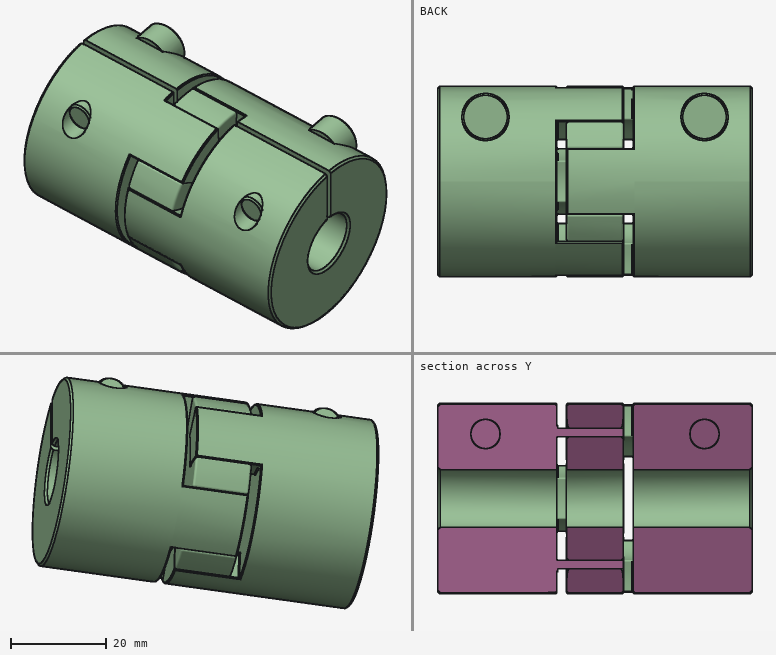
import cadquery as cq
import math

coupling_length = 66.0
outer_radius = 20.0
bore_radius = 6.65
hub_body_length = 25.0
spider_length = 12.0
overlap = 0.65
tolerance = 0.0005

jaws_per_hub = 3
jaw_pitch = 360.0 / jaws_per_hub
jaw_inner_radius = 13.2
jaw_outer_half_angle = 20.6
jaw_inner_half_angle = 19.1
jaw_flank_hollow = 0.25
jaw_corner_radius = 0.3
left_jaw_start = 0.0
right_jaw_start = jaw_pitch / 2

end_chamfer = 0.45
bore_chamfer = 0.5
jaw_chamfer = 0.25
jaw_root_fillet = 0.25
spider_fillet = 0.5

slit_width = 1.2
screw_height = 13.5
screw_from_end = 10.0
screw_diameter = 6.0
screw_tip_y = -13.5
screw_tip_chamfer = 0.4
head_radius = 4.95
head_length = screw_diameter
head_seat_y = 10.15
head_chamfer = 0.4

hub_end_x = -coupling_length / 2
hub_face_x = hub_end_x + hub_body_length
spider_half = spider_length / 2
screw_radius = screw_diameter / 2
screw_x = hub_end_x + screw_from_end


def polar(radius, angle):
    """Point in the YZ plane at an angle in degrees from +Y towards +Z."""
    return (radius * math.cos(math.radians(angle)), radius * math.sin(math.radians(angle)))


def jaw_profile(start_x):
    """Outline of one jaw centred on +Y, with concave flanks, in the plane x = start_x."""
    outer_top = polar(outer_radius, jaw_outer_half_angle)
    inner_top = polar(jaw_inner_radius, jaw_inner_half_angle)
    flank_y = outer_top[0] - inner_top[0]
    flank_z = outer_top[1] - inner_top[1]
    flank_length = math.hypot(flank_y, flank_z)
    hollow_top = (
        (outer_top[0] + inner_top[0]) / 2 + jaw_flank_hollow * flank_z / flank_length,
        (outer_top[1] + inner_top[1]) / 2 - jaw_flank_hollow * flank_y / flank_length,
    )
    outer_bottom, inner_bottom, hollow_bottom = (
        (y, -z) for y, z in (outer_top, inner_top, hollow_top)
    )
    return (
        cq.Workplane("YZ", origin=(start_x, 0, 0))
        .moveTo(*outer_bottom)
        .threePointArc((outer_radius, 0), outer_top)
        .threePointArc(hollow_top, inner_top)
        .threePointArc((jaw_inner_radius, 0), inner_bottom)
        .threePointArc(hollow_bottom, outer_bottom)
        .close()
    )


def make_jaw(start_x, end_x):
    """Jaw centred on +Y, with its two inner corners rounded along its length."""
    inner_edges = cq.selectors.BoxSelector(
        (start_x - overlap, -outer_radius, -outer_radius),
        (end_x + overlap, jaw_inner_radius, outer_radius),
    )
    jaw = jaw_profile(start_x).extrude(end_x - start_x)
    return jaw.edges("|X").edges(inner_edges).fillet(jaw_corner_radius)


def turned_copies(jaw, start_angle):
    """The jaw repeated around the X axis, one copy per jaw of a hub."""
    return [
        jaw.rotate((0, 0, 0), (1, 0, 0), start_angle + index * jaw_pitch)
        for index in range(jaws_per_hub)
    ]


def radius_at_middle(edge):
    """Distance of the middle of an edge from the coupling axis."""
    middle = edge.positionAt(0.5)
    return math.hypot(middle.y, middle.z)


def rim_edges(body, from_x):
    """Edges on the outer cylinder whose middle lies beyond from_x."""
    edges = []
    for edge in body.edges().vals():
        on_cylinder = abs(radius_at_middle(edge) - outer_radius) < tolerance
        if on_cylinder and edge.positionAt(0.5).x > from_x:
            edges.append(edge)
    return edges


def cylinder_y(radius, y_from, y_to):
    """Cylinder along Y on the left screw axis."""
    return (
        cq.Workplane("XZ", origin=(screw_x, y_from, screw_height))
        .circle(radius)
        .extrude(y_from - y_to)
    )


def make_left_hub(jaw_start):
    """Hub at the -X end with its jaws at the given start angle."""
    hub = (
        cq.Workplane("YZ", origin=(hub_end_x, 0, 0))
        .circle(outer_radius)
        .extrude(hub_body_length)
        .faces("<X").chamfer(end_chamfer)
        .faces(">X").chamfer(jaw_chamfer)
    )

    jaw_root_x = hub_face_x - jaw_chamfer
    jaw = make_jaw(jaw_root_x, spider_half)
    jaw = jaw.newObject(rim_edges(jaw, jaw_root_x + tolerance)).chamfer(jaw_chamfer)
    for turned_jaw in turned_copies(jaw, jaw_start):
        hub = hub.union(turned_jaw)
    jaw_root_edges = [
        edge for edge in hub.edges().vals()
        if abs(edge.positionAt(0.5).x - hub_face_x) < tolerance
        and radius_at_middle(edge) < outer_radius - jaw_chamfer - tolerance
    ]
    hub = hub.newObject(jaw_root_edges).fillet(jaw_root_fillet)

    hub = hub.faces("<X").workplane(origin=(0, 0, 0)).hole(2 * bore_radius)
    hub = hub.faces("<X").edges(cq.selectors.RadiusNthSelector(0)).chamfer(bore_chamfer)

    slit = cq.Workplane("XY", origin=(hub_end_x, 0, 0)).box(
        hub_body_length, slit_width, outer_radius + overlap, centered=(False, True, False)
    )
    hub = hub.cut(slit)

    hub = hub.cut(cylinder_y(screw_radius, -outer_radius, outer_radius))
    return hub.cut(cylinder_y(head_radius, head_seat_y, outer_radius))


def make_left_screw():
    """Cap screw of the left hub, head towards +Y."""
    shank = cylinder_y(screw_radius, screw_tip_y, head_seat_y)
    shank = shank.faces("<Y").chamfer(screw_tip_chamfer)
    head = cylinder_y(head_radius, head_seat_y, head_seat_y + head_length)
    head = head.faces(">Y").chamfer(head_chamfer)
    return shank.union(head)


def make_spider():
    """Ring whose six legs fill the spaces between the jaws of both hubs."""
    spider = (
        cq.Workplane("YZ", origin=(-spider_half, 0, 0))
        .circle(outer_radius)
        .circle(bore_radius)
        .extrude(spider_length)
    )
    jaw = make_jaw(-spider_half, spider_half)
    for jaw_start in (left_jaw_start, right_jaw_start):
        for turned_jaw in turned_copies(jaw, jaw_start):
            spider = spider.cut(turned_jaw)
    end_edges = [
        edge for edge in spider.faces("<X or >X").edges().vals()
        if bore_radius + tolerance < radius_at_middle(edge) < outer_radius - tolerance
    ]
    return spider.newObject(end_edges + rim_edges(spider, -coupling_length)).fillet(spider_fillet)


hubs = []
screws = []
for jaw_start, on_right in ((left_jaw_start, False), (right_jaw_start, True)):
    hub = make_left_hub(jaw_start)
    screw = make_left_screw()
    if on_right:
        hub = hub.mirror("YZ")
        screw = screw.mirror("YZ")
    hubs.append(hub.val())
    screws.append(screw.val())

spider = make_spider()

result = cq.Compound.makeCompound([*hubs, spider.val(), *screws])